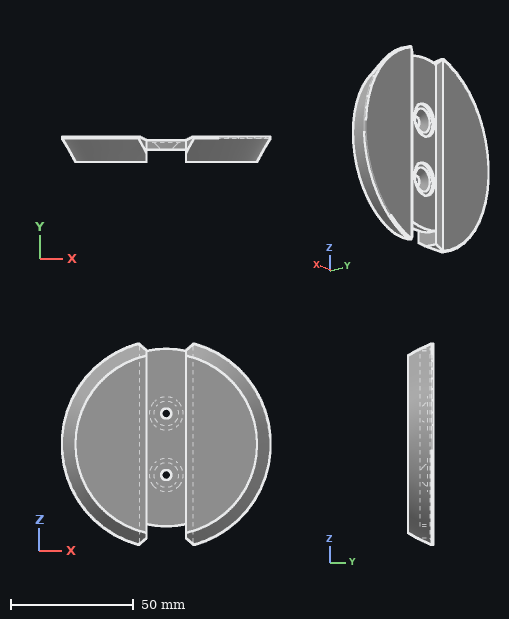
import cadquery as cq
import math

rim_radius = 42.55
thickness = 10.4
rim_fillet = 0.5
flank_angle = math.radians(30)
sharp_rim_radius = rim_radius - rim_fillet + rim_fillet / math.tan(math.radians(30))
face_radius = sharp_rim_radius - thickness * math.tan(flank_angle)

slot_half_width = 8.0
trough_depth = 1.45
trough_half_width = 10.9
web_thickness = 4.0
web_back = -trough_depth
web_front = web_back - web_thickness
web_radius = 36.2
web_center_z = 2.7

flare_start_z = 38.2
flare_tip_x = 11.3
flare_tip_z = math.sqrt(rim_radius**2 - flare_tip_x**2)
flare_slope = (flare_tip_x - slot_half_width) / (flare_tip_z - flare_start_z)

hole_diameter = 4.0
countersink_diameter = 10.0
countersink_angle = 90
countersink_depth = (countersink_diameter - hole_diameter) / 2
relief_diameter = 13.6
relief_depth = web_thickness - countersink_depth
hole_spacing = 25.0

clearance = 4.25


def tapered_disc():
    """Disc with its back face on Y = 0 and a rounded back rim."""
    profile = [(0, 0), (sharp_rim_radius, 0), (face_radius, -thickness), (0, -thickness)]
    disc = cq.Workplane("XY").polyline(profile).close().revolve(360, (0, 0), (0, 1))
    return disc.faces(">Y").edges().fillet(rim_fillet)


def slot():
    """Straight slot that parts the disc into two halves."""
    return cq.Workplane("XY").box(2 * slot_half_width, 3 * thickness, 3 * rim_radius)


def back_trough():
    """Shallow trough with sloping sides, running along the slot on the back."""
    section = [
        (-trough_half_width, 0),
        (trough_half_width, 0),
        (slot_half_width, -trough_depth),
        (-slot_half_width, -trough_depth),
    ]
    return cq.Workplane("XY").polyline(section).close().extrude(rim_radius + clearance, both=True)


def slot_flare(end):
    """Wedge that widens one end of the slot; end is +1 (top) or -1 (bottom)."""
    outer_z = rim_radius + clearance
    outer_x = slot_half_width + flare_slope * (outer_z - flare_start_z)
    outline = [
        (-slot_half_width, end * flare_start_z),
        (slot_half_width, end * flare_start_z),
        (outer_x, end * outer_z),
        (-outer_x, end * outer_z),
    ]
    return cq.Workplane("XZ").polyline(outline).close().extrude(2 * thickness, both=True)


def web():
    """Bridge between the halves, with round ends set off toward +Z."""
    disc = (
        cq.Workplane("XZ", origin=(0, web_back, 0))
        .center(0, web_center_z)
        .circle(web_radius)
        .extrude(web_back - web_front)
    )
    return disc.intersect(slot())


def drill_screw_holes(body):
    """Screw holes through the web, relieved and countersunk from the back."""
    centers = [(-hole_spacing / 2, 0), (hole_spacing / 2, 0)]
    web_back_plane = cq.Workplane("ZX", origin=(0, web_back, 0))
    reliefs = web_back_plane.pushPoints(centers).circle(relief_diameter / 2).extrude(-relief_depth)
    relief_floor_plane = web_back_plane.workplane(offset=-relief_depth)
    return (
        body.cut(reliefs)
        .copyWorkplane(relief_floor_plane)
        .pushPoints(centers)
        .cskHole(hole_diameter, countersink_diameter, countersink_angle)
    )


halves = tapered_disc().cut(slot()).cut(back_trough())
for end in (1, -1):
    halves = halves.cut(slot_flare(end))

result = drill_screw_holes(halves.union(web()))